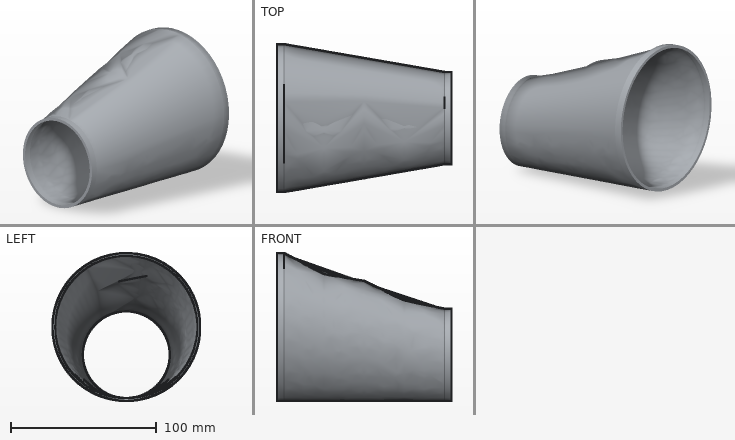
import cadquery as cq

large_diameter = 101.6
small_diameter = 63.5
wall_thickness = 2.0
total_length = 120.0
collar_length = 5.0

taper_length = total_length - 2 * collar_length
small_collar_start = total_length - collar_length
axis_drop = (large_diameter - small_diameter) / 2


def reducer_body(large_end_diameter, small_end_diameter):
    """Solid with a straight collar at each end and an eccentric taper between."""
    large_collar = (
        cq.Workplane("YZ")
        .circle(large_end_diameter / 2)
        .extrude(collar_length)
    )
    taper = (
        cq.Workplane("YZ", origin=(collar_length, 0, 0))
        .circle(large_end_diameter / 2)
        .workplane(offset=taper_length)
        .center(0, -axis_drop)
        .circle(small_end_diameter / 2)
        .loft(ruled=True)
    )
    small_collar = (
        cq.Workplane("YZ", origin=(small_collar_start, 0, -axis_drop))
        .circle(small_end_diameter / 2)
        .extrude(collar_length)
    )
    return large_collar.union(taper).union(small_collar)


outer_body = reducer_body(large_diameter, small_diameter)
bore = reducer_body(
    large_diameter - 2 * wall_thickness,
    small_diameter - 2 * wall_thickness,
)

result = outer_body.cut(bore)